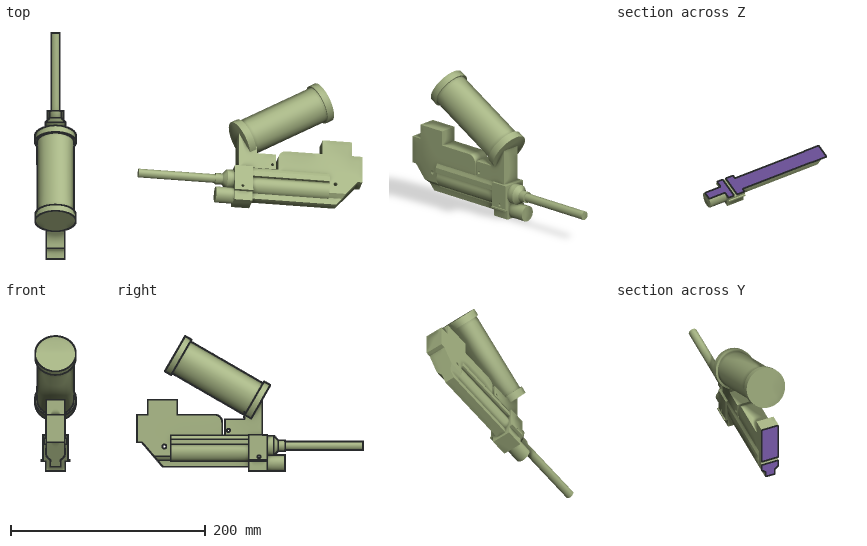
import cadquery as cq
import math


clamp_front = 114.7
clamp_rear = 133.7
clamp_height = 37.1
clamp_width = 25.9
lip_bottom = 9.8
lip_thickness = 1.6
lip_width = 28.8
clamp_pin_dia = 3.0
clamp_pin_y = 125.3
clamp_pin_z = 14.7

nose_rear = 34.5
rail_core_dia = 20.5
rail_core_z = 20.2
rail_head_width = 23.0
rail_head_bottom = 27.3
rail_shoulder_z = 32.6
rail_top_z = 36.8
keel_width = 10.7
keel_bottom = 4.25
keel_top = 10.1

body_width = 19.0
body_top = 58.0
nose_lip_z = 29.4
nose_lip_depth = 5.1
nose_toe_y = 26.6
taper_top = 15.2
taper_bottom = 11.2
nose_hole_dia = 4.0
nose_hole_y = 28.1
nose_hole_z = 25.2
carriage_rear = 87.6
carriage_fillet = 8.0
raised_front = 11.1
raised_rear = 41.5
raised_top = 73.4

arm_width = rail_core_dia
arm_front = 90.2
arm_rear = 128.8
arm_top = 53.3
post_front = 110.4
arm_hole_dia = 3.2
arm_hole_y = 93.9
arm_hole_z = 41.7

handle_tilt = 30.0
handle_length = 101.0
handle_dia = 38.0
rear_cap_dia = 42.4
front_cap_dia = 42.0
cap_length = 7.5
overall_height = 138.64
handle_rear_y = 126.5
tilt_sin = math.sin(math.radians(handle_tilt))
tilt_cos = math.cos(math.radians(handle_tilt))
handle_rear_z = overall_height - handle_length * tilt_sin - front_cap_dia / 2 * tilt_cos

cable_end = 232.1
cable_dia = 9.0
cable_z = 26.0
fitting_end = 152.0
sleeve_dia = 11.7
sleeve_front = 144.8
collar_dia = 20.8
collar_rear = 140.5
plug_dia = 16.5


def block(width, y_front, y_rear, z_bottom, z_top):
    """Box centred on X between the given Y and Z limits."""
    box = cq.Workplane("XY").box(width, y_rear - y_front, z_top - z_bottom, centered=(True, False, False))
    return box.translate((0, y_front, z_bottom))


def rod(diameter, y_front, y_rear, z_centre):
    """Cylinder along Y."""
    plane = cq.Workplane("XZ", origin=(0, y_front, z_centre))
    return plane.circle(diameter / 2).extrude(y_front - y_rear)


def cross_hole(diameter, y_centre, z_centre):
    """Cutter for a hole through the full width along X."""
    plane = cq.Workplane("YZ", origin=(-lip_width, y_centre, z_centre))
    return plane.circle(diameter / 2).extrude(2 * lip_width)


def mirrored_section(right_half, y_front, y_rear):
    """Extrude along Y a section given by its +X half, listed from bottom to top."""
    left_half = [(-x, z) for x, z in reversed(right_half)]
    plane = cq.Workplane("XZ", origin=(0, y_front, 0))
    return plane.polyline(right_half + left_half).close().extrude(y_front - y_rear)


def make_clamp():
    """Stepped block with a thin side lip and a cross hole."""
    lip_top = lip_bottom + lip_thickness
    base = block(rail_core_dia, clamp_front, clamp_rear, 0, lip_top)
    lip = block(lip_width, clamp_front, clamp_rear, lip_bottom, lip_top)
    upper = block(clamp_width, clamp_front, clamp_rear, lip_bottom, clamp_height)
    return base.union(lip).union(upper).cut(cross_hole(clamp_pin_dia, clamp_pin_y, clamp_pin_z))


def make_rail():
    """Round core resting on a flat keel, below a chamfered head."""
    core = rod(rail_core_dia, nose_rear, clamp_front, rail_core_z)
    keel = block(keel_width, nose_rear, clamp_front, keel_bottom, keel_top)
    head = mirrored_section(
        [
            (rail_head_width / 2, rail_head_bottom),
            (rail_head_width / 2, rail_shoulder_z),
            (body_width / 2, rail_top_z),
        ],
        nose_rear,
        clamp_front,
    )
    return core.union(keel).union(head)


def make_nose():
    """Tapered section cut to the sloping side profile."""
    section = mirrored_section(
        [
            (keel_width / 2, keel_bottom),
            (keel_width / 2, taper_bottom),
            (body_width / 2, taper_top),
            (body_width / 2, body_top),
        ],
        0,
        nose_rear,
    )
    side_profile = [
        (0, body_top),
        (0, nose_lip_z),
        (nose_lip_depth, nose_lip_z),
        (nose_toe_y, keel_bottom),
        (nose_rear, keel_bottom),
        (nose_rear, body_top),
    ]
    side = cq.Workplane("YZ").polyline(side_profile).close().extrude(body_width / 2, both=True)
    return section.intersect(side).cut(cross_hole(nose_hole_dia, nose_hole_y, nose_hole_z))


def make_carriage():
    """Body on the rail with one rounded rear edge and the raised block."""
    carriage = block(body_width, nose_rear, carriage_rear, rail_shoulder_z, body_top)
    carriage = carriage.edges("|X and >Y and >Z").fillet(carriage_fillet)
    raised = block(body_width, raised_front, raised_rear, body_top, raised_top)
    return carriage.union(raised)


def make_arm():
    """Arm on the clamp; its post ends where its rear face meets the handle's end face."""
    arm = block(arm_width, arm_front, arm_rear, rail_top_z, arm_top)
    post_top = handle_rear_z + (arm_rear - handle_rear_y) * tilt_cos / tilt_sin
    post = block(arm_width, post_front, arm_rear, arm_top, post_top)
    return arm.union(post).cut(cross_hole(arm_hole_dia, arm_hole_y, arm_hole_z))


def make_handle():
    """Handle built along Y from its rear end, then tilted up and placed."""
    tube = rod(handle_dia, 0, handle_length, 0)
    rear_cap = rod(rear_cap_dia, handle_length - cap_length, handle_length, 0)
    front_cap = rod(front_cap_dia, 0, cap_length, 0)
    handle = tube.union(rear_cap).union(front_cap).translate((0, -handle_length, 0))
    handle = handle.rotate((0, 0, 0), (1, 0, 0), -handle_tilt)
    return handle.translate((0, handle_rear_y, handle_rear_z))


def make_cable():
    """Collar, cone, sleeve and cable as one turned profile."""
    profile = [
        (0, clamp_rear),
        (collar_dia / 2, clamp_rear),
        (collar_dia / 2, collar_rear),
        (sleeve_dia / 2, sleeve_front),
        (sleeve_dia / 2, fitting_end),
        (cable_dia / 2, fitting_end),
        (cable_dia / 2, cable_end),
        (0, cable_end),
    ]
    cable = cq.Workplane("XY").polyline(profile).close().revolve(360, (0, 0, 0), (0, 1, 0))
    return cable.translate((0, 0, cable_z))


def make_plug():
    """Round plug behind the clamp, resting on the base plane."""
    return rod(plug_dia, clamp_rear, fitting_end, plug_dia / 2)


result = make_clamp()
for make_piece in (make_rail, make_nose, make_carriage, make_arm, make_handle, make_cable, make_plug):
    result = result.union(make_piece())